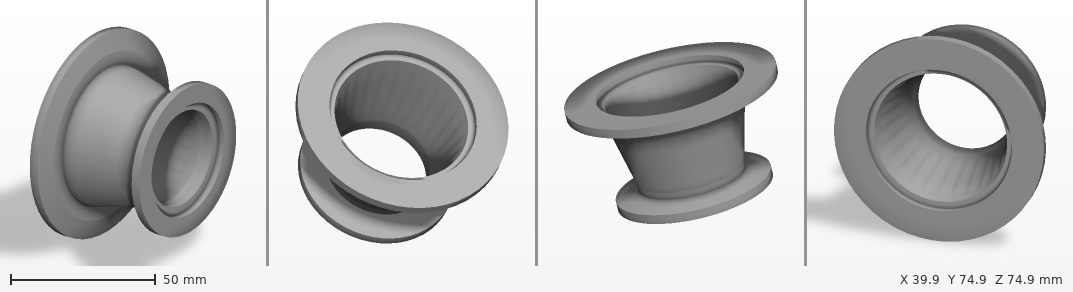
import cadquery as cq

length = 39.9
rim_thickness = 3.3

large_flange_diameter = 74.9
large_flange_back_diameter = 60.7
large_flange_depth = 5.1
large_recess_diameter = 52.35

small_flange_diameter = 54.9
small_flange_depth = 5.5
small_recess_diameter = 41.1

recess_depth = 2.55

tube_large_diameter = 50.8
neck_diameter = 38.1
neck_length = 2.55
bore_large_diameter = 47.5
bore_small_diameter = 34.8

small_flange_start = length - small_flange_depth
neck_start = small_flange_start - neck_length


def revolve_profile(stations):
    """Revolve (x, diameter) stations into a solid about the X axis."""
    points = [(x, diameter / 2) for x, diameter in stations]
    start, end = stations[0][0], stations[-1][0]
    return (
        cq.Workplane("XZ")
        .polyline([(start, 0), *points, (end, 0)])
        .close()
        .revolve(360, (0, 0, 0), (1, 0, 0))
    )


outside = revolve_profile([
    (0, large_flange_diameter),
    (rim_thickness, large_flange_diameter),
    (large_flange_depth, large_flange_back_diameter),
    (large_flange_depth, tube_large_diameter),
    (neck_start, neck_diameter),
    (small_flange_start, neck_diameter),
    (length - rim_thickness, small_flange_diameter),
    (length, small_flange_diameter),
])

inside = revolve_profile([
    (0, large_recess_diameter),
    (recess_depth, large_recess_diameter),
    (recess_depth, bore_large_diameter),
    (neck_start, bore_small_diameter),
    (length - recess_depth, bore_small_diameter),
    (length - recess_depth, small_recess_diameter),
    (length, small_recess_diameter),
])

result = outside.cut(inside)